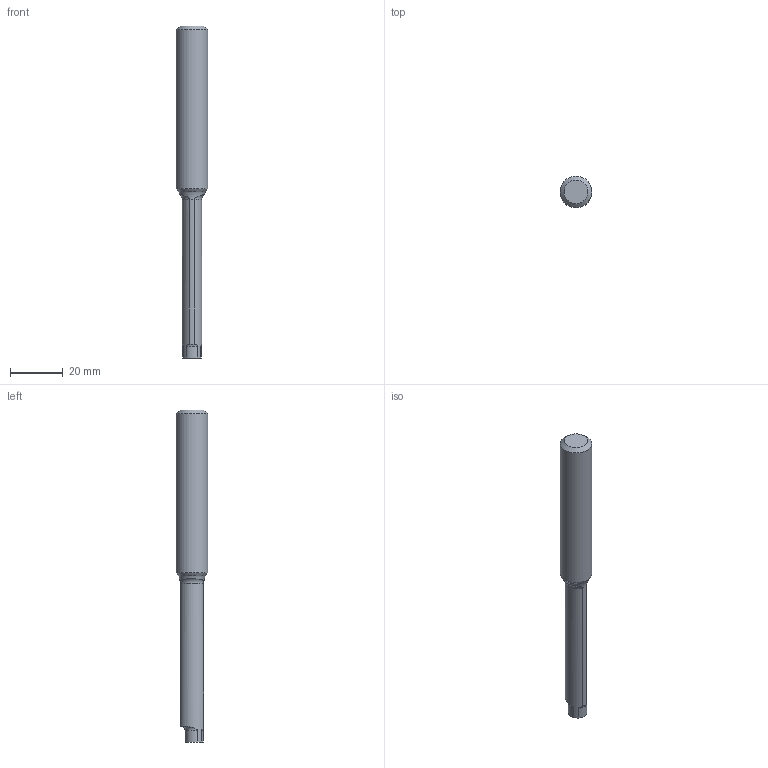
import cadquery as cq
import math

total_length = 126.1
shank_radius = 6.0
shank_start_z = 64.3
end_chamfer_radial = 1.5
end_chamfer_height = 1.4

neck_radius = 4.5
neck_end_z = 60.2
shoulder_crease_radius = 5.2
shoulder_crease_z = 63.2

neck_half_width = 3.75
land_half_width = 1.0
relief_runout_radius = 2.3

tip_radius = 3.5
tip_offset_y = -0.85
tip_length = 4.55
tip_fillet_radius = 1.5

land_edge_y = math.sqrt(neck_radius**2 - land_half_width**2)
relief_depth = neck_half_width - land_half_width
relief_radius = (land_edge_y**2 + relief_depth**2) / (2 * relief_depth)
relief_axis_x = neck_half_width - relief_radius

clearance_radius = 3 * shank_radius


def make_turned_blank():
    """Shank, shoulder and neck, turned about the Z axis."""
    return (
        cq.Workplane("XZ")
        .lineTo(neck_radius, 0)
        .lineTo(neck_radius, neck_end_z)
        .tangentArcPoint((shoulder_crease_radius, shoulder_crease_z), relative=False)
        .lineTo(shank_radius, shank_start_z)
        .lineTo(shank_radius, total_length - end_chamfer_height)
        .lineTo(shank_radius - end_chamfer_radial, total_length)
        .lineTo(0, total_length)
        .close()
        .revolve(360, (0, 0, 0), (0, 1, 0))
    )


def make_ring_cutter(axis_x, axis_y, inner_radius, straight_length, fillet_radius):
    """Ring that leaves a cylinder of inner_radius with a concave fillet at its top."""
    top_z = straight_length + fillet_radius
    return (
        cq.Workplane("XZ")
        .moveTo(inner_radius, 0)
        .lineTo(inner_radius, straight_length)
        .tangentArcPoint((inner_radius + fillet_radius, top_z), relative=False)
        .lineTo(clearance_radius, top_z)
        .lineTo(clearance_radius, 0)
        .close()
        .revolve(360, (0, 0, 0), (0, 1, 0))
        .translate((axis_x, axis_y, 0))
    )


def make_side_relief(side):
    """Cutter for the ground face on the +X (side = 1) or -X (side = -1) half of the neck."""
    ring = make_ring_cutter(side * relief_axis_x, 0, relief_radius, neck_end_z, relief_runout_radius)
    half_space = (
        cq.Workplane("XY")
        .box(clearance_radius, 2 * clearance_radius, total_length, centered=(True, True, False))
        .translate((side * clearance_radius / 2, 0, 0))
    )
    return ring.intersect(half_space)


result = make_turned_blank()
for side in (-1, 1):
    result = result.cut(make_side_relief(side))

result = result.cut(make_ring_cutter(0, tip_offset_y, tip_radius, tip_length, tip_fillet_radius))